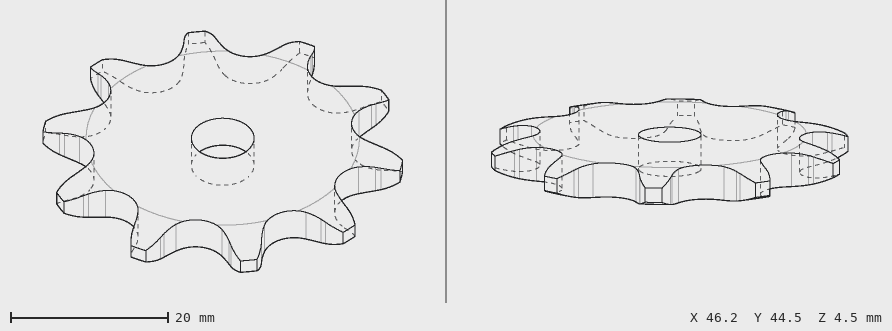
import cadquery as cq
import math


tooth_count = 10
chain_pitch = 12.7
roller_diameter = 7.75
roller_clearance = 0.075
outside_diameter = 46.2
plate_thickness = 4.5
bore_diameter = 8.0
flat_face_radius = 17.4
tip_thickness = 1.9

pitch_angle = 360 / tooth_count
outside_radius = outside_diameter / 2
pitch_radius = chain_pitch / (2 * math.sin(math.pi / tooth_count))

seat_radius = (1.005 * roller_diameter + roller_clearance) / 2
seat_angle = 35 + 60 / tooth_count
working_angle = 18 - 56 / tooth_count
topping_angle = 17 - 64 / tooth_count
working_offset = 0.8 * roller_diameter
topping_offset = 1.4 * roller_diameter
working_radius = seat_radius + working_offset

sprocket_axis = (0, 0)


def polar(radius, degrees, origin=sprocket_axis):
    """Point at a distance and direction from an origin."""
    angle = math.radians(degrees)
    return (origin[0] + radius * math.cos(angle), origin[1] + radius * math.sin(angle))


def direction(origin, point):
    """Direction in degrees from an origin to a point."""
    return math.degrees(math.atan2(point[1] - origin[1], point[0] - origin[0]))


def half_gap_points():
    """Points up the right side of a tooth gap centred on +Y, from its root to the tooth tip."""
    roller = (0, pitch_radius)
    root = polar(seat_radius, -90, roller)
    seat_end = polar(seat_radius, -seat_angle, roller)

    working_centre = polar(working_offset, 180 - seat_angle, roller)
    flank_angle = working_angle - seat_angle
    working_middle = polar(working_radius, working_angle / 2 - seat_angle, working_centre)
    working_end = polar(working_radius, flank_angle, working_centre)

    topping_centre = polar(topping_offset, -pitch_angle / 2, roller)
    flank_length = topping_offset * math.sin(math.radians(topping_angle))
    flank_length -= working_offset * math.sin(math.radians(working_angle))
    flank_end = polar(flank_length, flank_angle + 90, working_end)
    topping_radius = math.dist(topping_centre, flank_end)
    centre_distance = math.hypot(*topping_centre)
    cosine = outside_radius**2 + centre_distance**2 - topping_radius**2
    cosine /= 2 * outside_radius * centre_distance
    tip_angle = direction(sprocket_axis, topping_centre) + math.degrees(math.acos(cosine))
    tip = polar(outside_radius, tip_angle)
    start_angle = direction(topping_centre, flank_end)
    end_angle = direction(topping_centre, tip)
    topping_middle = polar(topping_radius, (start_angle + end_angle) / 2, topping_centre)
    return [root, seat_end, working_middle, working_end, flank_end, topping_middle, tip]


def mirrored(points):
    """The same points reflected across the gap centre line."""
    return [(-x, y) for x, y in points]


def turned(points, degrees):
    """The same points rotated about the sprocket axis."""
    return [polar(math.hypot(*point), direction(sprocket_axis, point) + degrees) for point in points]


def toothed_plate():
    """Full-thickness plate with the sprocket outline."""
    right_side = half_gap_points()
    left_side = mirrored(right_side)
    first_gap_turn = pitch_angle / 2 - 90
    first_tip = turned(right_side, first_gap_turn)[-1]
    outline = cq.Workplane("XY", origin=(0, 0, -plate_thickness / 2)).moveTo(*first_tip)
    for gap in range(tooth_count):
        gap_turn = first_gap_turn + gap * pitch_angle
        right = turned(right_side, gap_turn)
        left = turned(left_side, gap_turn)

        root, right_seat_end, working_middle, working_end, flank_end, topping_middle, _ = right
        left_seat_end = left[1]
        outline = (
            outline.threePointArc(topping_middle, flank_end)
            .lineTo(*working_end)
            .threePointArc(working_middle, right_seat_end)
            .threePointArc(root, left_seat_end)
        )

        _, _, working_middle, working_end, flank_end, topping_middle, tip = left
        outline = (
            outline.threePointArc(working_middle, working_end)
            .lineTo(*flank_end)
            .threePointArc(topping_middle, tip)
        )

        tip_middle = polar(outside_radius, (gap + 1) * pitch_angle)
        next_tip = turned(right, pitch_angle)[-1]
        outline = outline.threePointArc(tip_middle, next_tip)
    return outline.close().extrude(plate_thickness)


def thinning_envelope():
    """Disc whose rim tapers to the tip thickness along arcs tangent to both flat faces."""
    upper_half = (
        cq.Workplane("XZ")
        .lineTo(0, plate_thickness / 2)
        .lineTo(flat_face_radius, plate_thickness / 2)
        .tangentArcPoint((outside_radius, tip_thickness / 2), relative=False)
        .lineTo(outside_radius, 0)
        .close()
        .revolve(360, (0, 0, 0), (0, 1, 0))
    )
    return upper_half.union(upper_half.mirror("XY"))


sprocket = toothed_plate().intersect(thinning_envelope())
result = sprocket.faces(">Z").workplane(origin=(0, 0, 0)).hole(bore_diameter)